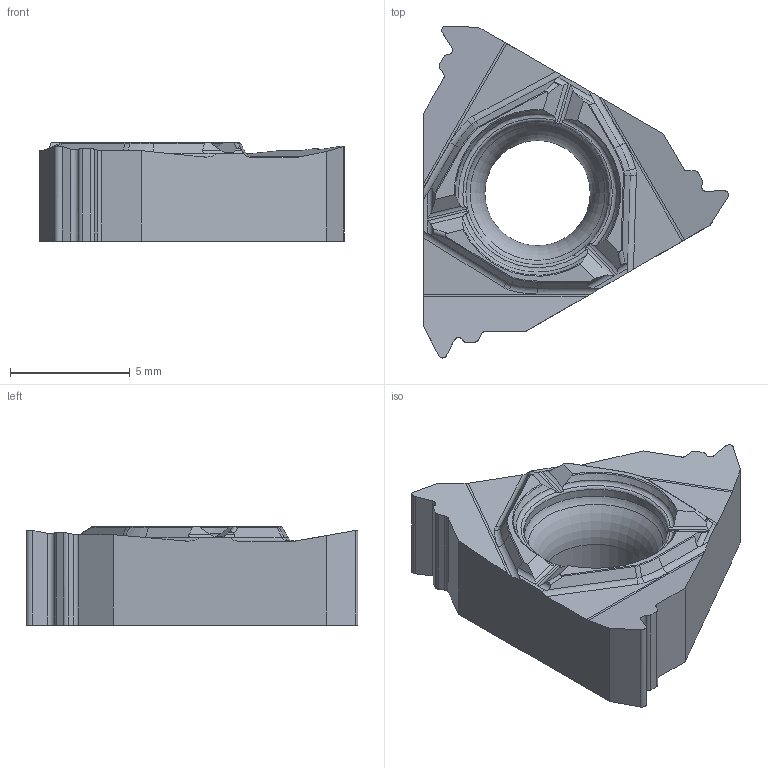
import cadquery as cq
import math


CORNERS = 3
CORNER_STEP = 360 / CORNERS

INSCRIBED_RADIUS = 9.525 / 2
HEIGHT = 4.1
FLOOR_Z = 3.51
TOUCHING = 1e-6
OUTSIDE = 12.0

PITCH = 1.337
FLANK_ANGLE = math.radians(55 / 2)
ROUNDING = 0.137329 * PITCH
THREAD_DEPTH = 0.640327 * PITCH
TIP_X = -3.969
TIP_Y = -6.888
CREST_END_X = -2.63
SHOULDER_Y = -5.79

RAKE_ANGLE = 10.0
RAKE_START_Y = -4.23
RAKE_BLEND_RADIUS = 0.57

BOSS_RADIUS = 4.05
BOSS_FLAT_DISTANCE = 3.93
BOSS_FLAT_ANGLE = 238.2
WALL_TAPER = 30.0
WALL_FILLET = 0.3
CREASE_FILLET = 0.9
TOP_EDGE_CHAMFER = 0.03

LEDGE_Z = 3.64
LEDGE_TAPER = 20.0
LEDGE_FILLET = 0.23
LEDGE_START_Y = -2.8
LEDGE_END_Y = 1.0
LEDGE_WALL_TOP_DISTANCE = 4.28

SLOT_ANGLE = 193.6
SLOT_INNER_RADIUS = 2.6
SLOT_OUTER_RADIUS = 5.5
SLOT_FLOOR_HALF_WIDTH = 0.14
SLOT_TOP_HALF_WIDTH = 0.75
SLOT_FILLET = 0.27
SLOT_END_ROUND = 0.15
SLOT_END_REACH = 0.25

HOLE_RADIUS = 2.2
SEAT_BOTTOM_Z = 1.3
SEAT_RADIUS = 2.82
SEAT_TOP_Z = 2.91
BORE_RADIUS = 3.0
BORE_BOTTOM_Z = 3.21
RIM_INNER_RADIUS = 3.12
RIM_Z = 3.66
RIM_ROUND = 0.1
RIM_OUTER_RADIUS = 3.31
RIM_OUTER_Z = 3.81
MOUTH_RADIUS = 3.44
MOUTH_Z = 4.06
MOUTH_EDGE_RADIUS = 3.48


def rotate(point, degrees):
    """Turn an XY point about the origin."""
    c = math.cos(math.radians(degrees))
    s = math.sin(math.radians(degrees))
    return (c * point[0] - s * point[1], s * point[0] + c * point[1])


def polar(radius, degrees):
    """XY point at a radius and direction from the origin."""
    return rotate((radius, 0), degrees)


def at_corners(shape):
    """Union of a solid repeated at every corner."""
    repeated = shape
    for i in range(1, CORNERS):
        repeated = repeated.union(shape.rotate((0, 0, 0), (0, 0, 1), i * CORNER_STEP))
    return repeated


def tilted_side_x(y):
    """X of the triangle side that runs up to the right from the -Y corner."""
    return 2 * INSCRIBED_RADIUS + math.sqrt(3) * y


def thread_profile():
    """One corner: where it starts, its roundings as (start, middle, end) in order, and where it ends."""
    across = ROUNDING * math.cos(FLANK_ANGLE)
    along = ROUNDING * math.sin(FLANK_ANGLE)
    tip = (TIP_X, TIP_Y + ROUNDING)
    root = (TIP_X + PITCH / 2, TIP_Y + THREAD_DEPTH - ROUNDING)
    crest_start = (root[0] + 2 * across, root[1] + 2 * along)
    crest_end = (CREST_END_X, crest_start[1])
    shoulder_y = SHOULDER_Y - ROUNDING
    flank_rise = shoulder_y - crest_end[1] + 2 * along
    shoulder_x = CREST_END_X + 2 * across + flank_rise * math.tan(FLANK_ANGLE)

    apex_y = tip[1] - ROUNDING / math.sin(FLANK_ANGLE)
    flank_start_y = apex_y + (TIP_X + INSCRIBED_RADIUS) / math.tan(FLANK_ANGLE)
    bisector = (math.pi / 2 - FLANK_ANGLE) / 2
    side = ROUNDING * math.sin(bisector)
    depth = ROUNDING * math.cos(bisector)

    flank_start = (-INSCRIBED_RADIUS, flank_start_y)
    side_start = (tilted_side_x(SHOULDER_Y), SHOULDER_Y)
    roundings = [
        (
            (tip[0] - across, tip[1] - along),
            (TIP_X, TIP_Y),
            (tip[0] + across, tip[1] - along),
        ),
        (
            (root[0] - across, root[1] + along),
            (root[0], root[1] + ROUNDING),
            (root[0] + across, root[1] + along),
        ),
        (
            (crest_start[0] - across, crest_start[1] - along),
            (crest_start[0] - side, crest_start[1] - depth),
            (crest_start[0], crest_start[1] - ROUNDING),
        ),
        (
            (crest_end[0], crest_end[1] - ROUNDING),
            (crest_end[0] + side, crest_end[1] - depth),
            (crest_end[0] + across, crest_end[1] - along),
        ),
        (
            (shoulder_x - across, shoulder_y + along),
            (shoulder_x - side, shoulder_y + depth),
            (shoulder_x, SHOULDER_Y),
        ),
    ]
    return flank_start, roundings, side_start


def make_prism():
    """Full-height prism of the insert outline."""
    flank_start, roundings, side_start = thread_profile()
    outline = cq.Workplane("XY").moveTo(*rotate(side_start, -CORNER_STEP))
    for i in range(CORNERS):
        turn = i * CORNER_STEP
        outline = outline.lineTo(*rotate(flank_start, turn))
        position = flank_start
        for start, middle, end in roundings:
            if math.dist(position, start) > TOUCHING:
                outline = outline.lineTo(*rotate(start, turn))
            outline = outline.threePointArc(rotate(middle, turn), rotate(end, turn))
            position = end
        if i < CORNERS - 1:
            outline = outline.lineTo(*rotate(side_start, turn))
    return outline.close().extrude(HEIGHT)


def make_boss_on_floor():
    """Wide disc up to the floor, with the tapered boss standing on it and a rounded foot."""
    arc_start_angle = BOSS_FLAT_ANGLE + math.degrees(math.acos(BOSS_FLAT_DISTANCE / BOSS_RADIUS))
    next_normal = math.radians(BOSS_FLAT_ANGLE + CORNER_STEP)
    corner_x = (BOSS_FLAT_DISTANCE + BOSS_RADIUS * math.sin(next_normal)) / math.cos(next_normal)
    corner = (corner_x, -BOSS_RADIUS)
    arc_start = polar(BOSS_RADIUS, arc_start_angle)
    arc_middle = polar(BOSS_RADIUS, (arc_start_angle + 270) / 2)
    arc_end = (0, -BOSS_RADIUS)

    outline = cq.Workplane("XY").workplane(offset=FLOOR_Z).moveTo(*rotate(corner, -CORNER_STEP))
    for i in range(CORNERS):
        turn = i * CORNER_STEP
        outline = outline.lineTo(*rotate(arc_start, turn))
        outline = outline.threePointArc(rotate(arc_middle, turn), rotate(arc_end, turn))
        if i < CORNERS - 1:
            outline = outline.lineTo(*rotate(corner, turn))
    boss = outline.close().extrude(HEIGHT - FLOOR_Z, taper=WALL_TAPER)
    for i in range(CORNERS):
        crease = cq.selectors.NearestToPointSelector(
            polar(BOSS_RADIUS, arc_start_angle + i * CORNER_STEP) + ((FLOOR_Z + HEIGHT) / 2,)
        )
        boss = boss.edges(crease).fillet(CREASE_FILLET)
    boss = boss.faces(">Z").edges().chamfer(TOP_EDGE_CHAMFER)
    solid = cq.Workplane("XY").circle(OUTSIDE).extrude(FLOOR_Z).union(boss)
    foot = cq.selectors.BoxSelector(
        (-OUTSIDE / 2, -OUTSIDE / 2, FLOOR_Z - TOUCHING),
        (OUTSIDE / 2, OUTSIDE / 2, FLOOR_Z + TOUCHING),
    )
    return solid.edges(foot).fillet(WALL_FILLET)


def make_rake():
    """Material above the floor, rising to the tip, with a blend at its start."""
    angle = math.radians(RAKE_ANGLE)
    blend_y = RAKE_START_Y - RAKE_BLEND_RADIUS * math.sin(angle)
    blend_z = FLOOR_Z + RAKE_BLEND_RADIUS * (1 - math.cos(angle))
    end_z = blend_z + (blend_y + OUTSIDE) * math.tan(angle)
    return (
        cq.Workplane("YZ")
        .moveTo(RAKE_START_Y, 0)
        .lineTo(RAKE_START_Y, FLOOR_Z)
        .radiusArc((blend_y, blend_z), RAKE_BLEND_RADIUS)
        .lineTo(-OUTSIDE, end_z)
        .lineTo(-OUTSIDE, 0)
        .close()
        .extrude(OUTSIDE, both=True)
    )


def make_ledge_cut():
    """Cutter along the -X side of the triangle."""
    taper = math.radians(LEDGE_TAPER)
    foot_x = LEDGE_WALL_TOP_DISTANCE + (HEIGHT - LEDGE_Z) * math.tan(taper)
    cutter = (
        cq.Workplane("XZ", origin=(0, LEDGE_END_Y, 0))
        .moveTo(-OUTSIDE, LEDGE_Z)
        .lineTo(-foot_x, LEDGE_Z)
        .lineTo(-LEDGE_WALL_TOP_DISTANCE, HEIGHT)
        .lineTo(-OUTSIDE, HEIGHT)
        .close()
        .extrude(LEDGE_END_Y - LEDGE_START_Y)
    )
    foot = cq.selectors.NearestToPointSelector((-foot_x, 0, LEDGE_Z))
    return cutter.edges(foot).fillet(LEDGE_FILLET)


def make_slot_cut():
    """Cutter for one V-shaped radial slot with a narrow rounded floor."""
    cutter = (
        cq.Workplane("YZ")
        .workplane(offset=SLOT_INNER_RADIUS)
        .polyline(
            [
                (-SLOT_FLOOR_HALF_WIDTH, LEDGE_Z),
                (SLOT_FLOOR_HALF_WIDTH, LEDGE_Z),
                (SLOT_TOP_HALF_WIDTH, HEIGHT),
                (-SLOT_TOP_HALF_WIDTH, HEIGHT),
            ]
        )
        .close()
        .extrude(SLOT_OUTER_RADIUS - SLOT_INNER_RADIUS)
        .faces("<Z")
        .edges("|X")
        .fillet(SLOT_FILLET)
    )
    return cutter.rotate((0, 0, 0), (0, 0, 1), SLOT_ANGLE)


def round_slot_ends(solid):
    """Round the edges where the slots run out through the slanting boss walls."""
    axis = math.radians(SLOT_ANGLE - BOSS_FLAT_ANGLE)
    top_distance = BOSS_FLAT_DISTANCE - (HEIGHT - FLOOR_Z) * math.tan(math.radians(WALL_TAPER))
    across = SLOT_TOP_HALF_WIDTH
    along = (top_distance + across * math.sin(axis)) / math.cos(axis)
    ends = cq.Workplane()
    for i in range(CORNERS):
        x, y = rotate((along, across), SLOT_ANGLE + i * CORNER_STEP)
        near_end = cq.selectors.BoxSelector(
            (x - SLOT_END_REACH, y - SLOT_END_REACH, LEDGE_Z),
            (x + SLOT_END_REACH, y + SLOT_END_REACH, HEIGHT - TOP_EDGE_CHAMFER),
        )
        ends = ends.add(solid.edges(near_end))
    return solid.newObject(ends.vals()).fillet(SLOT_END_ROUND)


def make_hole_cut():
    """Revolved hole: cylinder, convex screw seat, bore, rim and flared mouth."""
    seat_width = SEAT_RADIUS - HOLE_RADIUS
    seat_height = SEAT_TOP_Z - SEAT_BOTTOM_Z
    seat_curve = (seat_width**2 + seat_height**2) / (2 * seat_width)
    return (
        cq.Workplane("XZ")
        .moveTo(0, 0)
        .lineTo(HOLE_RADIUS, 0)
        .lineTo(HOLE_RADIUS, SEAT_BOTTOM_Z)
        .radiusArc((SEAT_RADIUS, SEAT_TOP_Z), seat_curve)
        .tangentArcPoint((BORE_RADIUS, BORE_BOTTOM_Z), relative=False)
        .lineTo(BORE_RADIUS, RIM_Z - RIM_ROUND)
        .tangentArcPoint((RIM_INNER_RADIUS, RIM_Z), relative=False)
        .tangentArcPoint((RIM_OUTER_RADIUS, RIM_OUTER_Z), relative=False)
        .lineTo(MOUTH_RADIUS, MOUTH_Z)
        .tangentArcPoint((MOUTH_EDGE_RADIUS, HEIGHT), relative=False)
        .lineTo(0, HEIGHT)
        .close()
        .revolve(360, (0, 0, 0), (0, 1, 0))
    )


blank = make_boss_on_floor().union(at_corners(make_rake()))
insert = make_prism().intersect(blank)
insert = insert.cut(at_corners(make_ledge_cut()))
insert = insert.cut(at_corners(make_slot_cut()))
insert = insert.cut(make_hole_cut())
result = round_slot_ends(insert)